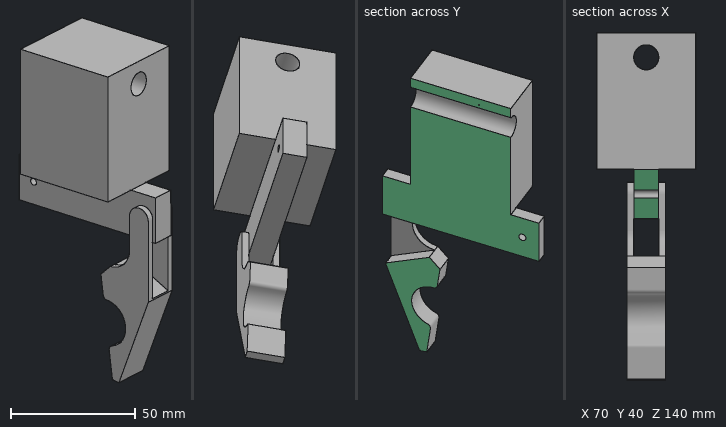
import cadquery as cq
import math

total_height = 140

block_length = 45.0
block_depth = 40.0
block_height = 55.0
block_hole_diameter = 10.0
block_hole_drop = 10.0

bar_length = 70
bar_width = 10.0
bar_height = 20.0
bar_hole_diameter = 3.0
bar_hole_x = 7.4

arm_width = 15.7
arm_right = 68.6
shank_width = 9.7
shank_top = 79.8
back_bend_z = 39.6
bite_radius = 10.0
bite_x = 46.9
bite_z = 24.8
bite_edge_radius = 2.0
jaw_tilt = math.radians(7.5)
jaw_top_z = 45.5
tip_x = 53.5
tip_corner_z = 0.4
throat_x = arm_right - shank_width - bite_radius
throat_z = 60.0
slot_floor_tilt = math.radians(26.6)

block_bottom = total_height - block_height
bar_bottom = block_bottom - bar_height
throat_bottom = throat_z - bite_radius


def jaw_point(z):
    """Point on the tilted jaw face, which passes through the bite centre."""
    return bite_x + (bite_z - z) * math.tan(jaw_tilt), z


def make_block():
    block = cq.Workplane("XY").box(block_length, block_depth, block_height)
    block = block.translate((bar_length / 2, 0, block_bottom + block_height / 2))
    hole = (
        cq.Workplane("YZ")
        .center(0, total_height - block_hole_drop)
        .circle(block_hole_diameter / 2)
        .extrude(bar_length)
    )
    return block.cut(hole)


def make_bar():
    bar = cq.Workplane("XY").box(bar_length, bar_width, bar_height)
    bar = bar.translate((bar_length / 2, 0, bar_bottom + bar_height / 2))
    hole = (
        cq.Workplane("XZ")
        .center(bar_hole_x, bar_bottom + bar_height / 2)
        .circle(bar_hole_diameter / 2)
        .extrude(bar_width / 2, both=True)
    )
    return bar.cut(hole)


def make_arm():
    shank_radius = shank_width / 2
    shank_left = arm_right - shank_width
    shank_round_z = shank_top - shank_radius

    throat_middle = (
        throat_x + bite_radius * math.cos(math.pi / 4),
        throat_z - bite_radius * math.sin(math.pi / 4),
    )

    bite_rise = bite_radius * math.cos(jaw_tilt)
    bite_middle = (
        bite_x + bite_radius * math.cos(jaw_tilt),
        bite_z + bite_radius * math.sin(jaw_tilt),
    )
    bite_top = jaw_point(bite_z + bite_rise)
    bite_bottom = jaw_point(bite_z - bite_rise)

    arm = (
        cq.Workplane("XZ")
        .moveTo(shank_left, shank_round_z)
        .threePointArc((arm_right - shank_radius, shank_top), (arm_right, shank_round_z))
        .lineTo(arm_right, back_bend_z)
        .lineTo(tip_x, 0)
        .lineTo(*jaw_point(tip_corner_z))
        .lineTo(*bite_bottom)
        .threePointArc(bite_middle, bite_top)
        .lineTo(*jaw_point(jaw_top_z))
        .lineTo(throat_x, throat_bottom)
        .threePointArc(throat_middle, (shank_left, throat_z))
        .close()
        .extrude(arm_width / 2, both=True)
    )

    for x, z in (bite_top, bite_bottom):
        edge = cq.selectors.NearestToPointSelector((x, 0, z))
        arm = arm.edges(edge).fillet(bite_edge_radius)

    slot_length = bar_length - throat_x
    floor_drop = slot_length * math.tan(slot_floor_tilt)
    slot = (
        cq.Workplane("XZ")
        .moveTo(throat_x, throat_bottom)
        .lineTo(bar_length, throat_bottom - floor_drop)
        .lineTo(bar_length, total_height)
        .lineTo(throat_x, total_height)
        .close()
        .extrude(bar_width / 2, both=True)
    )
    return arm.cut(slot)


result = make_block().union(make_bar()).union(make_arm())